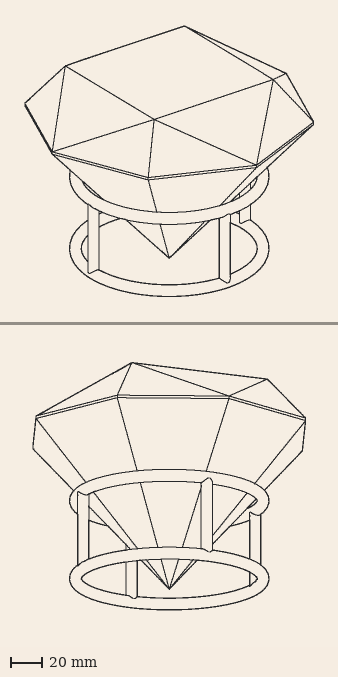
import cadquery as cq
import math

GIRDLE_RADIUS = 92.9
GIRDLE_SIDES = 8
GIRDLE_THICKNESS = 1.7
PAVILION_HEIGHT = 102.2
CROWN_HEIGHT = 28.5
TABLE_SIDE = 94.5
TABLE_CORNERS = 4
GEM_TURN = 0.5

RING_OUTER_DIAMETER = 127.0
RING_TUBE_DIAMETER = 7.6
POST_DIAMETER = 7.2
POST_COUNT = 4
LOWER_RING_HEIGHT = 7.0
SEAM_TURN = 180 / POST_COUNT
RING_SPACING = 51.5
RING_RADIUS = (RING_OUTER_DIAMETER - RING_TUBE_DIAMETER) / 2


def polygon_points(radius, sides, first_angle, height):
    """Corners of a level regular polygon centred on the Z axis."""
    points = []
    for i in range(sides):
        angle = math.radians(first_angle + i * 360 / sides)
        points.append(cq.Vector(radius * math.cos(angle), radius * math.sin(angle), height))
    return points


def flat_face(points):
    return cq.Face.makeFromWires(cq.Wire.makePolygon(points, close=True))


def make_gem():
    girdle_bottom = PAVILION_HEIGHT
    girdle_top = girdle_bottom + GIRDLE_THICKNESS
    table_height = girdle_top + CROWN_HEIGHT
    table_radius = TABLE_SIDE / math.sqrt(2)

    tip = cq.Vector(0, 0, 0)
    lower = polygon_points(GIRDLE_RADIUS, GIRDLE_SIDES, GEM_TURN, girdle_bottom)
    upper = polygon_points(GIRDLE_RADIUS, GIRDLE_SIDES, GEM_TURN, girdle_top)
    table = polygon_points(table_radius, TABLE_CORNERS, GEM_TURN + 180 / TABLE_CORNERS, table_height)

    faces = [flat_face(table)]
    for i in range(GIRDLE_SIDES):
        following = (i + 1) % GIRDLE_SIDES
        faces.append(flat_face([tip, lower[following], lower[i]]))
        faces.append(flat_face([lower[i], lower[following], upper[following], upper[i]]))
    for i in range(TABLE_CORNERS):
        before = upper[2 * i]
        middle = upper[2 * i + 1]
        after = upper[(2 * i + 2) % GIRDLE_SIDES]
        faces.append(flat_face([before, middle, table[i]]))
        faces.append(flat_face([middle, after, table[i]]))
        faces.append(flat_face([table[i], after, table[(i + 1) % TABLE_CORNERS]]))
    return cq.Workplane(cq.Solid.makeSolid(cq.Shell.makeShell(faces)))


def make_ring(height):
    ring = cq.Solid.makeTorus(RING_RADIUS, RING_TUBE_DIAMETER / 2)
    return cq.Workplane(ring.translate(cq.Vector(0, 0, height))).rotate((0, 0, 0), (0, 0, 1), SEAM_TURN)


def make_stand():
    upper_ring_height = LOWER_RING_HEIGHT + RING_SPACING
    posts = (
        cq.Workplane("XY", origin=(0, 0, LOWER_RING_HEIGHT))
        .polarArray(RING_RADIUS, 0, 360, POST_COUNT)
        .circle(POST_DIAMETER / 2)
        .extrude(RING_SPACING)
    )
    lower_ring = make_ring(LOWER_RING_HEIGHT)
    upper_ring = make_ring(upper_ring_height)
    return lower_ring.union(posts, clean=False).union(upper_ring, clean=False)


gem = make_gem()
stand = make_stand()
result = cq.Compound.makeCompound([gem.val(), *stand.solids().vals()])